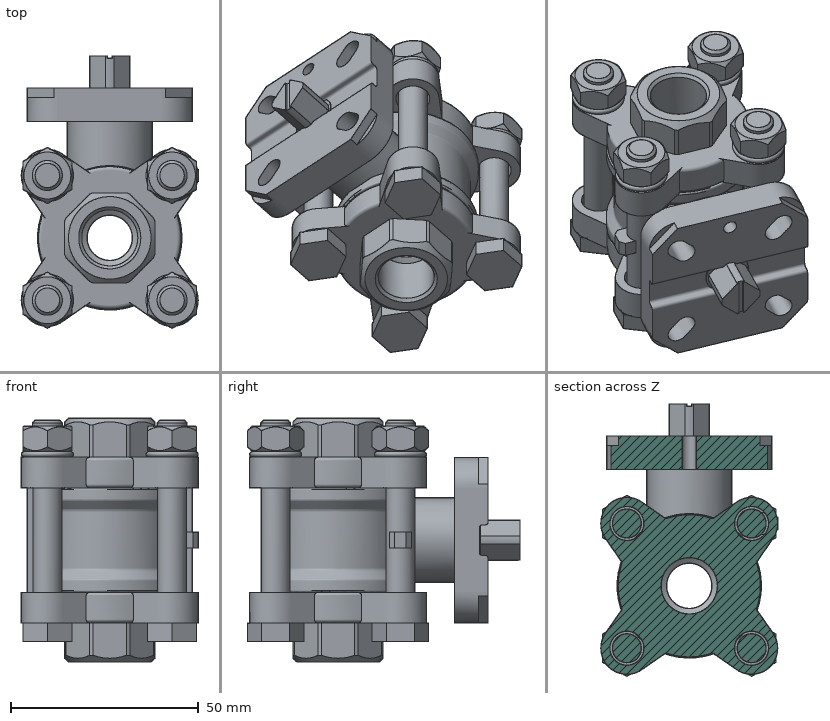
import math

import cadquery as cq


BORE_D = 12.0
SOCKET_D = 14.95
SOCKET_DEPTH = 15.0
SOCKET_CHAMFER = 0.8
SOCKET_FLOOR_SLOPE = math.radians(31)

END_Z = 65.0 / 2
END_FLATS = 24.0
END_CORNER_D = 25.6
END_FACE_D = 22.0

FLANGE_INNER_Z = 13.9
FLANGE_OUTER_Z = 22.1
FLANGE_THICKNESS = FLANGE_OUTER_Z - FLANGE_INNER_Z
FLANGE_DISC_D = 38.0
FLANGE_DISC_FILLET = 1.0
LUG_D = 13.95
LUG_TAPER = math.radians(10.2)
LUG_HOLE_D = 9.0

OVERALL_X = 47.19
STUD_OFFSET = (OVERALL_X - LUG_D) / 2
THREAD_D = 8.0
SHANK_D = 7.75
STUD_TOP_Z = 32.0
STUD_CHAMFER = 0.75
HEX_FLATS = 13.0
HEX_CORNER_D = HEX_FLATS / math.cos(math.pi / 6)
NUT_HEIGHT = 6.8
NUT_FACE_D = 12.5
WASHER_D = 13.9
WASHER_THICKNESS = 1.5
HEAD_HEIGHT = 4.95

BODY_D = 34.3
RING_D = 38.5
BODY_CONE_Z = 7.95
RING_START_Z = 10.6
CONE_FOOT_FILLET = 1.0
RING_FILLET = 0.8
RING_END_FILLET = 0.45

STOP_HEIGHT = 4.25
STOP_WIDTH = 5.8
STOP_CHAMFER = 1.35

NECK_D = 22.7
PLATE_INNER_Y = 31.0
PLATE_OUTER_Y = 40.0
PLATE_THICKNESS = PLATE_OUTER_Y - PLATE_INNER_Y
PLATE_SIDE = 44.1
PLATE_CORNER_R = 8.1
RAISED_LAYER = 2.55
RAISED_CHAMFER = 7.2
CHANNEL_WIDTH = 8.1
CHANNEL_DEPTH = 2.35
CHANNEL_FILLET = 0.8
SLOT_WIDTH = 5.5
BOLT_CIRCLE_SMALL = 36.0
BOLT_CIRCLE_LARGE = 42.0
PIN_HOLE_D = 3.7

STEM_TOP_Y = 48.5
STEM_FLATS = 9.0
STEM_D = 10.8
STEM_SHOULDER_D = 12.0
STEM_SHOULDER_Y = 37.95
STEM_MARK_WIDTH = 1.3
STEM_MARK_DEPTH = 0.6


def disc(diameter, z_low, z_high):
    return cq.Workplane("XY").workplane(offset=z_low).circle(diameter / 2).extrude(z_high - z_low)


def facing_y(y):
    """Workplane at height y whose local x is X, local y is Z and normal is -Y."""
    return cq.Workplane("XZ", origin=(0, y, 0))


def mirrored_ends(shape):
    return shape.union(shape.mirror("XY"))


def stud_places():
    return [(sx * STUD_OFFSET, sy * STUD_OFFSET) for sx in (-1, 1) for sy in (-1, 1)]


def level_edges(z):
    """Selector for the round body edges at height z."""
    margin = 0.1
    return cq.selectors.BoxSelector((-RING_D, -RING_D, z - margin), (RING_D, RING_D, z + margin))


def body():
    """Turned centre body: a barrel that flares out to a ring at each end."""
    half = (
        cq.Workplane("XZ")
        .moveTo(0, 0)
        .lineTo(BODY_D / 2, 0)
        .lineTo(BODY_D / 2, BODY_CONE_Z)
        .lineTo(RING_D / 2, RING_START_Z)
        .lineTo(RING_D / 2, FLANGE_INNER_Z)
        .lineTo(0, FLANGE_INNER_Z)
        .close()
        .revolve(360, (0, 0, 0), (0, 1, 0))
    )
    half = half.faces(">Z").edges().fillet(RING_END_FILLET)
    half = half.edges(level_edges(BODY_CONE_Z)).fillet(CONE_FOOT_FILLET)
    half = half.edges(level_edges(RING_START_Z)).fillet(RING_FILLET)
    return mirrored_ends(half)


def lug():
    """Flange ear on the +X axis, widening from its round tip towards the disc."""
    reach = STUD_OFFSET * math.sqrt(2)
    tip_x = reach + LUG_D / 2 * math.sin(LUG_TAPER)
    tip_y = LUG_D / 2 * math.cos(LUG_TAPER)
    root_x = FLANGE_DISC_D / 4
    root_y = tip_y + (tip_x - root_x) * math.tan(LUG_TAPER)
    return (
        cq.Workplane("XY")
        .workplane(offset=FLANGE_INNER_Z)
        .moveTo(root_x, -root_y)
        .lineTo(tip_x, -tip_y)
        .threePointArc((reach + LUG_D / 2, 0), (tip_x, tip_y))
        .lineTo(root_x, root_y)
        .close()
        .extrude(FLANGE_THICKNESS)
    )


def flanges():
    """Both end flanges: a rounded disc with four diagonal lugs drilled for the studs."""
    flange = disc(FLANGE_DISC_D, FLANGE_INNER_Z, FLANGE_OUTER_Z).edges().fillet(FLANGE_DISC_FILLET)
    for quarter in range(4):
        flange = flange.union(lug().rotate((0, 0, 0), (0, 0, 1), 45 + 90 * quarter))
    holes = (
        cq.Workplane("XY")
        .workplane(offset=FLANGE_INNER_Z)
        .pushPoints(stud_places())
        .circle(LUG_HOLE_D / 2)
        .extrude(FLANGE_THICKNESS)
    )
    return mirrored_ends(flange.cut(holes))


def pipe_ends():
    """Octagonal wrench ends with turned corners and a chamfered end face."""
    half_sector = 180 / 8
    corner_d = END_FLATS / math.cos(math.radians(half_sector))
    octagon = (
        cq.Workplane("XY")
        .workplane(offset=FLANGE_INNER_Z)
        .polygon(8, corner_d)
        .extrude(END_Z - FLANGE_INNER_Z)
        .rotate((0, 0, 0), (0, 0, 1), half_sector)
    )
    blank = disc(END_CORNER_D, FLANGE_INNER_Z, END_Z).faces(">Z").chamfer((END_CORNER_D - END_FACE_D) / 2)
    return mirrored_ends(octagon.intersect(blank))


def hexagon(z_low, height):
    prism = cq.Workplane("XY").workplane(offset=z_low).polygon(6, HEX_CORNER_D).extrude(height)
    return prism.rotate((0, 0, 0), (0, 0, 1), 30)


def fastener():
    """Hex bolt on the Z axis with a round-rimmed washer and a nut at its top."""
    washer_top = FLANGE_OUTER_Z + WASHER_THICKNESS
    nut_top = washer_top + NUT_HEIGHT
    shank = disc(SHANK_D, -FLANGE_OUTER_Z, FLANGE_OUTER_Z)
    thread = disc(THREAD_D, FLANGE_OUTER_Z, STUD_TOP_Z).faces(">Z").chamfer(STUD_CHAMFER)
    head = hexagon(-FLANGE_OUTER_Z - HEAD_HEIGHT, HEAD_HEIGHT)
    rim_r = (WASHER_D - WASHER_THICKNESS) / 2
    washer = (
        cq.Workplane("XZ")
        .moveTo(0, FLANGE_OUTER_Z)
        .lineTo(rim_r, FLANGE_OUTER_Z)
        .threePointArc((WASHER_D / 2, FLANGE_OUTER_Z + WASHER_THICKNESS / 2), (rim_r, washer_top))
        .lineTo(0, washer_top)
        .close()
        .revolve(360, (0, 0, 0), (0, 1, 0))
    )
    nut_chamfer = (HEX_CORNER_D - NUT_FACE_D) / 2
    nut_blank = disc(HEX_CORNER_D, washer_top, nut_top).edges().chamfer(nut_chamfer)
    nut = hexagon(washer_top, NUT_HEIGHT).intersect(nut_blank)
    return shank.union(thread).union(head).union(washer).union(nut)


def stop_block():
    """Small chamfered block on the +X side of the (+X, +Y) stud."""
    length = OVERALL_X / 2 - STUD_OFFSET
    block = cq.Workplane("XY").box(length, STOP_WIDTH, STOP_HEIGHT, centered=(False, True, True))
    block = block.edges("|Z and >X").chamfer(STOP_CHAMFER)
    return block.translate((STUD_OFFSET, STUD_OFFSET, 0))


def mounting_plate():
    """Actuator plate with chamfered outer corners, a cross channel and four diagonal bolt slots."""
    plate = (
        facing_y(PLATE_OUTER_Y)
        .rect(PLATE_SIDE, PLATE_SIDE)
        .extrude(PLATE_THICKNESS)
        .edges("|Y")
        .fillet(PLATE_CORNER_R)
    )
    raised = (
        facing_y(PLATE_OUTER_Y)
        .rect(PLATE_SIDE, PLATE_SIDE)
        .extrude(RAISED_LAYER)
        .edges("|Y")
        .chamfer(RAISED_CHAMFER)
    )
    lower = facing_y(PLATE_OUTER_Y - RAISED_LAYER).rect(PLATE_SIDE, PLATE_SIDE)
    lower = lower.extrude(PLATE_THICKNESS - RAISED_LAYER)
    plate = plate.intersect(raised.union(lower))

    channel = cq.Workplane("XY").box(PLATE_SIDE, 2 * CHANNEL_DEPTH, CHANNEL_WIDTH)
    channel = channel.edges("|X").fillet(CHANNEL_FILLET)
    plate = plate.cut(channel.translate((0, PLATE_OUTER_Y, 0)))
    near_channel = cq.selectors.BoxSelector(
        (-PLATE_SIDE, 0, -CHANNEL_WIDTH), (PLATE_SIDE, STEM_TOP_Y, CHANNEL_WIDTH)
    )
    plate = plate.faces(">Y").edges("|X").edges(near_channel).fillet(CHANNEL_FILLET)

    slot_radius = (BOLT_CIRCLE_SMALL + BOLT_CIRCLE_LARGE) / 4
    slot_length = (BOLT_CIRCLE_LARGE - BOLT_CIRCLE_SMALL) / 2 + SLOT_WIDTH
    for quarter in range(4):
        slot = (
            facing_y(PLATE_OUTER_Y)
            .center(slot_radius, 0)
            .slot2D(slot_length, SLOT_WIDTH)
            .extrude(PLATE_THICKNESS)
            .rotate((0, 0, 0), (0, 1, 0), 45 + 90 * quarter)
        )
        plate = plate.cut(slot)
    pin_hole = facing_y(PLATE_OUTER_Y).center(0, BOLT_CIRCLE_SMALL / 2).circle(PIN_HOLE_D / 2)
    return plate.cut(pin_hole.extrude(PLATE_THICKNESS))


def neck():
    return facing_y(PLATE_INNER_Y).circle(NECK_D / 2).extrude(PLATE_INNER_Y - BORE_D / 2)


def stem():
    """Square drive turned 45 degrees, rising from a round shoulder, with a marking groove on its end."""
    length = STEM_TOP_Y - PLATE_INNER_Y
    square = facing_y(STEM_TOP_Y).rect(STEM_FLATS, STEM_FLATS).extrude(length)
    square = square.rotate((0, 0, 0), (0, 1, 0), 45)
    drive = square.intersect(facing_y(STEM_TOP_Y).circle(STEM_D / 2).extrude(length))
    groove = facing_y(STEM_TOP_Y).rect(STEM_MARK_WIDTH, STEM_D).extrude(STEM_MARK_DEPTH)
    shoulder = facing_y(STEM_SHOULDER_Y).circle(STEM_SHOULDER_D / 2)
    return drive.cut(groove).union(shoulder.extrude(STEM_SHOULDER_Y - PLATE_INNER_Y))


def flow_passage():
    """Through bore with a chamfered, cone-bottomed thread socket at each end."""
    bore_r = BORE_D / 2
    socket_r = SOCKET_D / 2
    socket_floor_z = END_Z - SOCKET_DEPTH
    cone_depth = (socket_r - bore_r) * math.tan(SOCKET_FLOOR_SLOPE)
    half = (
        cq.Workplane("XZ")
        .moveTo(0, 0)
        .lineTo(bore_r, 0)
        .lineTo(bore_r, socket_floor_z - cone_depth)
        .lineTo(socket_r, socket_floor_z)
        .lineTo(socket_r, END_Z - SOCKET_CHAMFER)
        .lineTo(socket_r + SOCKET_CHAMFER, END_Z)
        .lineTo(0, END_Z)
        .close()
        .revolve(360, (0, 0, 0), (0, 1, 0))
    )
    return mirrored_ends(half)


result = body().union(flanges()).union(pipe_ends()).union(neck()).union(mounting_plate()).union(stem())
result = result.cut(flow_passage())
for stud_x, stud_y in stud_places():
    result = result.union(fastener().translate((stud_x, stud_y, 0)))
result = result.union(stop_block())